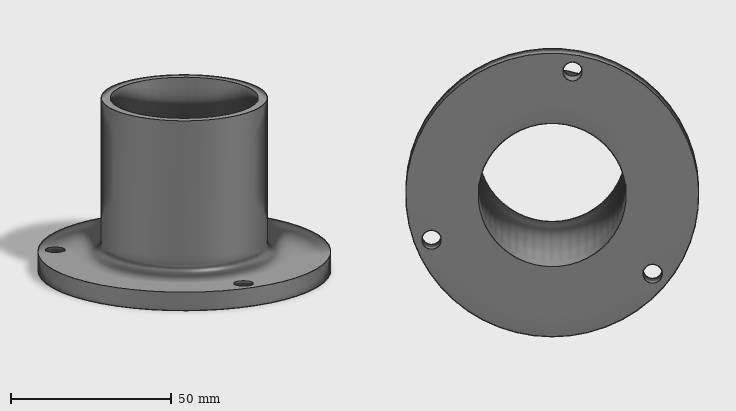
import cadquery as cq

flange_diameter = 91.45
flange_thickness = 6.0

overall_height = 56.0
tube_diameter = 51.85
bore_diameter = 46.2
fillet_radius = 3.0

hole_diameter = 6.0
hole_count = 3
hole_circle_radius = 40.3
first_hole_angle = 90.0


def make_flanged_tube():
    """Round flange with a tube standing on it, filleted where they meet."""
    flange = cq.Workplane("XY").circle(flange_diameter / 2).extrude(flange_thickness)
    tube = cq.Workplane("XY").circle(tube_diameter / 2).extrude(overall_height)
    joint_edge = cq.selectors.RadiusNthSelector(0)
    body = flange.union(tube)
    return body.faces("<Z[-2]").edges(joint_edge).fillet(fillet_radius)


def make_bore():
    """Cylinder that opens the tube and the flange from end to end."""
    return cq.Workplane("XY").circle(bore_diameter / 2).extrude(overall_height)


def make_mounting_holes():
    """Evenly spaced cylinders through the flange."""
    return (
        cq.Workplane("XY")
        .polarArray(hole_circle_radius, first_hole_angle, 360, hole_count)
        .circle(hole_diameter / 2)
        .extrude(flange_thickness)
    )


result = make_flanged_tube().cut(make_bore()).cut(make_mounting_holes())